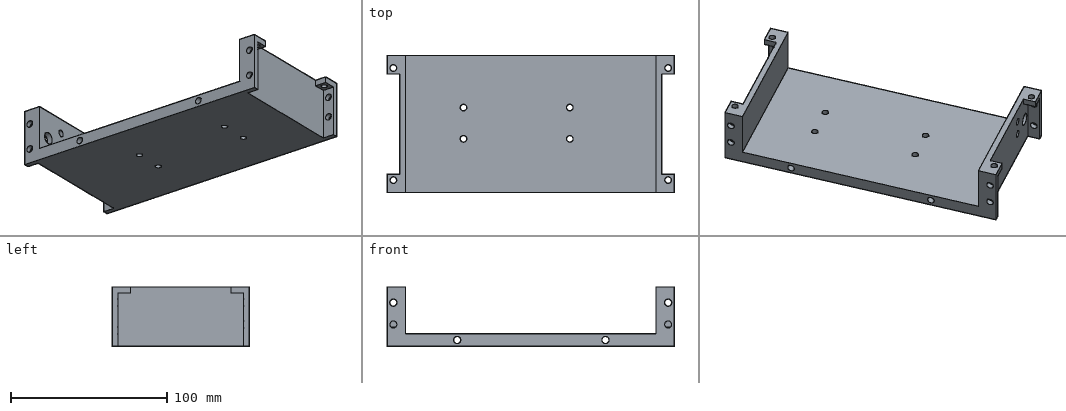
import cadquery as cq

LENGTH = 184.0
WIDTH = 88.0
HEIGHT = 38.0
FLOOR_THICKNESS = 8.1

END_DEPTH = 12.0
RECESS_DEPTH = 8.1
FLANGE_THICKNESS = 3.7
TAB_WIDTH = 12.0
TAB_THICKNESS = 4.0

SCREW_DIAMETER = 4.5
SCREW_INSET = RECESS_DEPTH / 2
UPPER_SCREW_Z = 28.0
FRONT_LOWER_SCREW_Z = 14.0
BACK_LOWER_SCREW_Z = 10.1
TAB_SCREW_Y_INSET = 8.1
TAB_SCREW_DIAMETER = 4.0

EDGE_HOLE_SPACING = 95.0
EDGE_HOLE_CENTRE_X = 0.4
MOUNT_DIAMETER = 4.0
MOUNT_SPACING_X = 68.0
MOUNT_SPACING_Y = 20.0
MOUNT_CENTRE = (-9.0, 0.5)

CONNECTOR_DIAMETER = 8.0
CONNECTOR_FROM_BACK = 9.5
CONNECTOR_Z = 19.1
SMALL_HOLE_DIAMETER = 4.5
SMALL_HOLES_FROM_BACK = 23.0
SMALL_HOLE_HEIGHTS = (17.7, 28.0)

SIDES = (-1, 1)


def box_between(x_range, y_range, z_range):
    """Box spanning the given pairs of coordinates."""
    sizes = [high - low for low, high in (x_range, y_range, z_range)]
    corner = (x_range[0], y_range[0], z_range[0])
    return cq.Workplane("XY").box(*sizes, centered=False).translate(corner)


def hole(start, direction, diameter, depth):
    """Cylinder running from a start point along a direction."""
    return cq.Workplane(
        cq.Solid.makeCylinder(diameter / 2, depth, cq.Vector(*start), cq.Vector(*direction))
    )


def tray():
    """U-shaped channel: floor with a solid block at each end."""
    inner_x = LENGTH / 2 - END_DEPTH
    body = box_between((-LENGTH / 2, LENGTH / 2), (-WIDTH / 2, WIDTH / 2), (0, HEIGHT))
    cavity = box_between((-inner_x, inner_x), (-WIDTH / 2, WIDTH / 2), (FLOOR_THICKNESS, HEIGHT))
    return body.cut(cavity)


def end_recess(side):
    """Outer recess between the flanges, open at the bottom and between the tabs."""
    x_range = sorted((side * LENGTH / 2, side * (LENGTH / 2 - RECESS_DEPTH)))
    flange_y = WIDTH / 2 - FLANGE_THICKNESS
    tab_y = WIDTH / 2 - TAB_WIDTH
    below_tabs = box_between(x_range, (-flange_y, flange_y), (0, HEIGHT - TAB_THICKNESS))
    between_tabs = box_between(x_range, (-tab_y, tab_y), (0, HEIGHT))
    return below_tabs.union(between_tabs)


result = tray()
for side in SIDES:
    result = result.cut(end_recess(side))

for side_x in SIDES:
    screw_x = side_x * (LENGTH / 2 - SCREW_INSET)
    for side_y, lower_z in ((-1, FRONT_LOWER_SCREW_Z), (1, BACK_LOWER_SCREW_Z)):
        for screw_z in (UPPER_SCREW_Z, lower_z):
            start = (screw_x, side_y * WIDTH / 2, screw_z)
            result = result.cut(hole(start, (0, -side_y, 0), SCREW_DIAMETER, FLANGE_THICKNESS))
        tab_start = (screw_x, side_y * (WIDTH / 2 - TAB_SCREW_Y_INSET), HEIGHT)
        result = result.cut(hole(tab_start, (0, 0, -1), TAB_SCREW_DIAMETER, TAB_THICKNESS))

for side in SIDES:
    start = (EDGE_HOLE_CENTRE_X + side * EDGE_HOLE_SPACING / 2, -WIDTH / 2, FLOOR_THICKNESS / 2)
    result = result.cut(hole(start, (0, 1, 0), SCREW_DIAMETER, WIDTH))

mount_holes = (
    cq.Workplane("XY")
    .center(*MOUNT_CENTRE)
    .rarray(MOUNT_SPACING_X, MOUNT_SPACING_Y, 2, 2)
    .circle(MOUNT_DIAMETER / 2)
    .extrude(FLOOR_THICKNESS)
)
result = result.cut(mount_holes)

web_holes = [(CONNECTOR_FROM_BACK, CONNECTOR_Z, CONNECTOR_DIAMETER)]
for height in SMALL_HOLE_HEIGHTS:
    web_holes.append((SMALL_HOLES_FROM_BACK, height, SMALL_HOLE_DIAMETER))
for from_back, height, diameter in web_holes:
    start = (LENGTH / 2 - END_DEPTH, WIDTH / 2 - from_back, height)
    result = result.cut(hole(start, (1, 0, 0), diameter, END_DEPTH - RECESS_DEPTH))